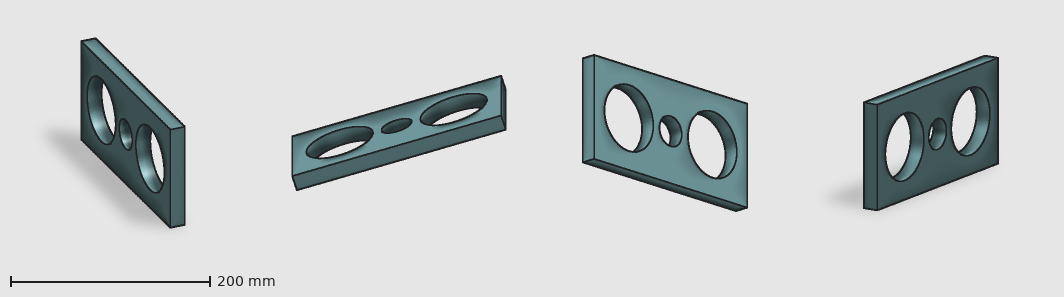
import cadquery as cq

length = 220.0
thickness = 16.0
height = length / 2

large_hole_diameter = 70.0
large_hole_spacing = 120.0
small_hole_diameter = 32.0

plate = cq.Workplane("XY").box(length, thickness, height)

large_hole_centers = [(-large_hole_spacing / 2, 0), (large_hole_spacing / 2, 0)]
plate = plate.faces("<Y").workplane().pushPoints(large_hole_centers).hole(large_hole_diameter)

result = plate.faces("<Y").workplane(origin=(0, 0, 0)).hole(small_hole_diameter)